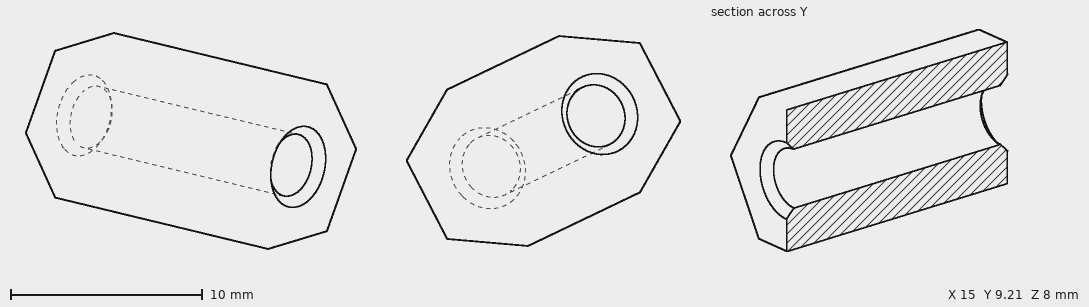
import cadquery as cq
import math

length = 15.0
across_flats = 8.0
edge_radius = 0.1
bore_diameter = 3.3
countersink_diameter = 4.3

across_corners = across_flats / math.cos(math.radians(30))
countersink_depth = (countersink_diameter - bore_diameter) / 2


def hexagonal_body():
    """Hexagonal bar centred on the origin, with every outer edge rounded."""
    bar = (
        cq.Workplane("YZ")
        .polygon(6, across_corners)
        .extrude(length / 2, both=True)
    )
    return bar.edges().fillet(edge_radius)


def countersunk_bore():
    """Cutter for the through bore and the countersink at each end."""
    half_length = length / 2
    bore_radius = bore_diameter / 2
    countersink_radius = countersink_diameter / 2
    profile = [
        (-half_length, 0),
        (-half_length, countersink_radius),
        (-half_length + countersink_depth, bore_radius),
        (half_length - countersink_depth, bore_radius),
        (half_length, countersink_radius),
        (half_length, 0),
    ]
    return (
        cq.Workplane("XY")
        .polyline(profile)
        .close()
        .revolve(360, (0, 0, 0), (1, 0, 0))
    )


result = hexagonal_body().cut(countersunk_bore())